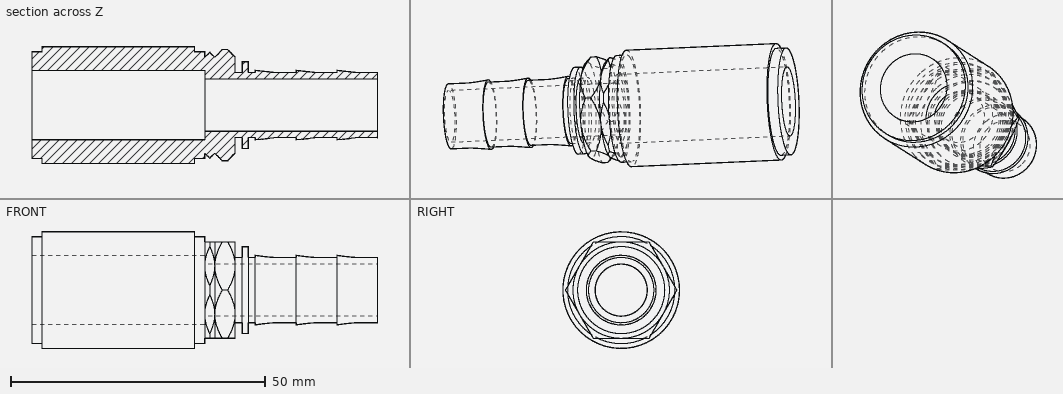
import cadquery as cq
import math

total_length = 68.0

body_diameter = 23.0
collar_diameter = 21.1
collar_length = 2.0
body_length = 30.05
socket_length = body_length + 2 * collar_length

hex_across_flats = 19.0
narrow_hex_length = 2.0
wide_hex_length = 4.0
wide_hex_start = socket_length + narrow_hex_length
hex_end = wide_hex_start + wide_hex_length

tail_diameter = 12.85
flange_diameter = 17.15
flange_gap = 1.35
flange_thickness = 1.2
flange_start = hex_end + flange_gap

barb_diameter = 13.75
barb_length = 4.0
barb_pitch = 8.0
barb_count = 3
plain_tip_length = 4.0
first_barb_start = total_length - plain_tip_length - barb_length - (barb_count - 1) * barb_pitch

socket_bore_diameter = 13.6
through_bore_diameter = 10.2


def cylinder(start, length, diameter):
    """Solid cylinder along X."""
    return cq.Workplane("YZ", origin=(start, 0, 0)).circle(diameter / 2).extrude(length)


def revolve_about_x(points):
    """Revolve a closed (x, radius) outline about the X axis."""
    return cq.Workplane("XY").polyline(points).close().revolve(360, (0, 0, 0), (1, 0, 0))


def chamfered_hexagon(start, length):
    """Hexagon with flats facing +/-Z, chamfered at 45 degrees down to its inscribed circle at each end."""
    across_corners = hex_across_flats / math.cos(math.pi / 6)
    prism = cq.Workplane("YZ", origin=(start, 0, 0)).polygon(6, across_corners).extrude(length)
    end_radius = hex_across_flats / 2
    end = start + length
    middle = start + length / 2
    turned_blank = revolve_about_x(
        [(start, 0), (start, end_radius), (middle, end_radius + length / 2), (end, end_radius), (end, 0)]
    )
    return prism.intersect(turned_blank)


def barb(start):
    """Cone with a square shoulder at its start, tapering down to the tail surface."""
    end = start + barb_length
    return revolve_about_x(
        [(start, 0), (start, barb_diameter / 2), (end, tail_diameter / 2), (end, 0)]
    )


socket = cylinder(0, socket_length, collar_diameter)
socket = socket.union(cylinder(collar_length, body_length, body_diameter))

hexagons = chamfered_hexagon(socket_length, narrow_hex_length)
hexagons = hexagons.union(chamfered_hexagon(wide_hex_start, wide_hex_length))

tail = cylinder(hex_end, total_length - hex_end, tail_diameter)
tail = tail.union(cylinder(flange_start, flange_thickness, flange_diameter))
for index in range(barb_count):
    tail = tail.union(barb(first_barb_start + index * barb_pitch))

result = (
    socket.union(hexagons)
    .union(tail)
    .cut(cylinder(0, socket_length, socket_bore_diameter))
    .cut(cylinder(0, total_length, through_bore_diameter))
)